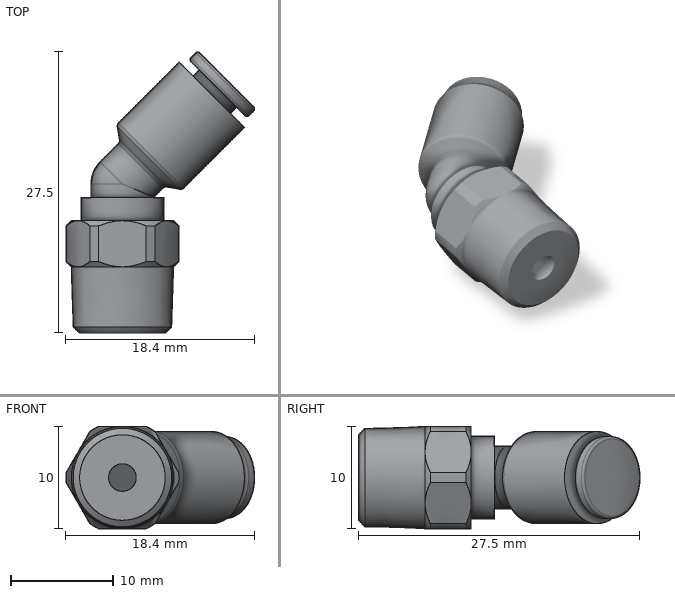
import cadquery as cq
import math

mouth_radius = 4.18
mouth_chamfer_length = 0.6
thread_start_radius = 4.8
thread_end_radius = 5.0
hex_start_y = 6.48
flow_hole_radius = 1.35

hex_length = 4.5
hex_across_flats = 10.0
hex_corner_diameter = 11.02
hex_end_y = hex_start_y + hex_length
collar_radius = 4.05
collar_length = 2.25
collar_end_y = hex_end_y + collar_length

elbow_radius = 3.08
elbow_y = 14.55
elbow_angle = 45

cone_start = 2.72
socket_start = 3.74
cone_fillet = 0.38
socket_end = 12.33
socket_radius = 4.5

neck_radius = 2.58
flange_start = 13.19
flange_end = 14.4
flange_radius = 4.0
flange_fillet = 0.25


def revolve_about_y(profile):
    """Solid of revolution about Y from (radius, Y) points, closed along the axis."""
    first_y = profile[0][1]
    last_y = profile[-1][1]
    points = [(0, first_y), *profile, (0, last_y)]
    return cq.Workplane("XY").polyline(points).close().revolve(360, (0, 0), (0, 1))


def make_stem():
    """Tapered thread body with a chamfered mouth, carrying the collar."""
    return revolve_about_y([
        (mouth_radius, 0),
        (thread_start_radius, mouth_chamfer_length),
        (thread_end_radius, hex_start_y),
        (collar_radius, hex_start_y),
        (collar_radius, collar_end_y),
    ])


def make_hex():
    """Hexagon with flats facing +Z and -Z, rounded corners and 45 degree end chamfers."""
    flat_radius = hex_across_flats / 2
    corner_radius = hex_corner_diameter / 2
    chamfer = corner_radius - flat_radius
    prism = (
        cq.Workplane("XZ", origin=(0, hex_start_y, 0))
        .polygon(6, hex_across_flats / math.cos(math.radians(30)))
        .extrude(-hex_length)
    )
    envelope = revolve_about_y([
        (flat_radius, hex_start_y),
        (corner_radius, hex_start_y + chamfer),
        (corner_radius, hex_end_y - chamfer),
        (flat_radius, hex_end_y),
    ])
    return prism.intersect(envelope)


def tilt(body):
    """Lean a body about the elbow centre so that its Y axis turns towards +X."""
    return body.rotate((0, 0, 0), (0, 0, 1), -elbow_angle).translate((0, elbow_y, 0))


def make_elbow_tube():
    """Straight tube from the collar up to the elbow centre."""
    return revolve_about_y([(elbow_radius, hex_end_y), (elbow_radius, elbow_y)])


def make_elbow_ball():
    """Spherical wedge that fills the outside of the bend between the two tubes."""
    half_disc = (
        cq.Workplane("XZ")
        .moveTo(0, elbow_radius)
        .threePointArc((-elbow_radius, 0), (0, -elbow_radius))
        .close()
    )
    wedge = half_disc.revolve(elbow_angle, (0, elbow_radius), (0, -elbow_radius))
    return wedge.translate((0, elbow_y, 0))


def make_socket():
    """Tilted tube and socket body, with both ends of the joining cone rounded."""
    upright = revolve_about_y([
        (elbow_radius, 0),
        (elbow_radius, cone_start),
        (socket_radius, socket_start),
        (socket_radius, socket_end),
    ])
    cone_ends = upright.edges("%CIRCLE").filter(
        lambda edge: cone_start - 0.03 < edge.Center().y < socket_start + 0.03
    )
    return tilt(cone_ends.fillet(cone_fillet))


def make_release_ring():
    """Tilted neck with a rounded flange beyond the socket mouth."""
    neck = revolve_about_y([(neck_radius, socket_start), (neck_radius, flange_end)])
    flange = (
        cq.Workplane("XZ", origin=(0, flange_start, 0))
        .circle(flange_radius)
        .extrude(flange_start - flange_end)
        .edges("%CIRCLE")
        .fillet(flange_fillet)
    )
    return tilt(neck.union(flange))


flow_hole = revolve_about_y([(flow_hole_radius, 0), (flow_hole_radius, hex_end_y)])

result = (
    make_stem()
    .union(make_hex())
    .union(make_elbow_tube())
    .union(make_socket())
    .union(make_elbow_ball())
    .union(make_release_ring())
    .cut(flow_hole)
)